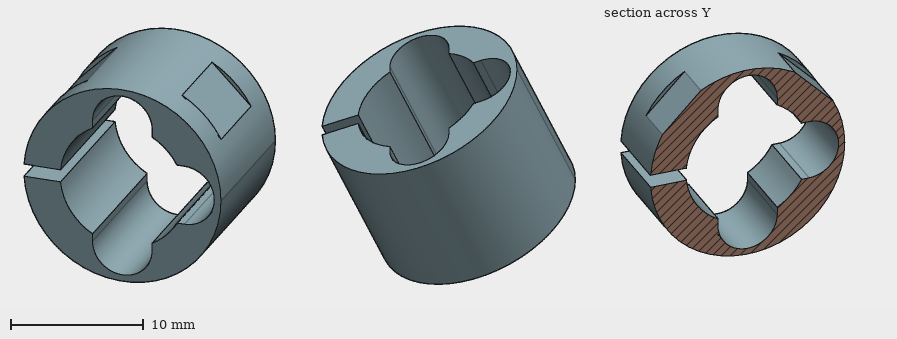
import cadquery as cq

outer_diameter = 15.88
length = 11.69
bore_radius = 5.0
lobe_radius = 2.4
slit_width = 1.0
flat_length = 6.4
flat_distance = 7.62

outer_radius = outer_diameter / 2
lobe_center_radius = bore_radius
lobe_angles = (-90, 0, 90)
flat_angles = (45, 135)


def full_length(sketch):
    """Extrude a sketch over the ring length, centered on its middle."""
    return sketch.extrude(length).translate((0, 0, -length / 2))


def lobe_cutter(angle):
    """Channel with straight sides and a round outer end."""
    round_end = full_length(cq.Workplane("XY").center(lobe_center_radius, 0).circle(lobe_radius))
    straight_sides = full_length(
        cq.Workplane("XY").center(lobe_center_radius / 2, 0).rect(lobe_center_radius, 2 * lobe_radius)
    )
    return round_end.union(straight_sides).rotate((0, 0, 0), (0, 0, 1), angle)


def flat_cutter(angle):
    """Block that shaves a flat of limited length off the outer surface."""
    block = cq.Workplane("XY").box(outer_radius, outer_diameter, flat_length)
    return block.translate((flat_distance + outer_radius / 2, 0, 0)).rotate((0, 0, 0), (0, 0, 1), angle)


ring = full_length(cq.Workplane("XY").circle(outer_radius).circle(bore_radius))

for lobe_angle in lobe_angles:
    ring = ring.cut(lobe_cutter(lobe_angle))

slit = full_length(cq.Workplane("XY").center(-outer_radius / 2, 0).rect(outer_radius, slit_width))
ring = ring.cut(slit)

for flat_angle in flat_angles:
    ring = ring.cut(flat_cutter(flat_angle))

result = ring.rotate((0, 0, 0), (1, 0, 0), 90)